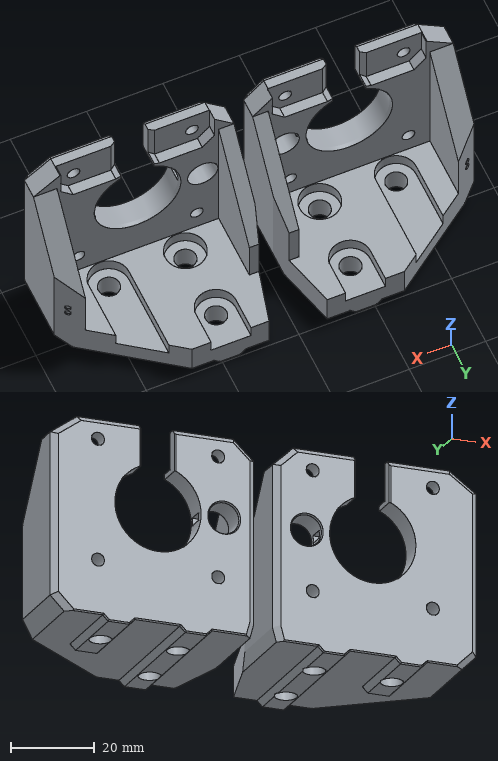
import cadquery as cq

pair_width = 110.0
bracket_width = 52.6
depth = 39.2
height = 51.9

foot_height = 1.4
upper_corner_z = 47.0
lower_corner_z = 5.1
outer_top_cut = 6.9
inner_top_cut = 5.3
outer_bottom_cut = lower_corner_z - foot_height
inner_bottom_cut = 1.0
front_chamfer = 1.5
lower_front_chamfer = 0.3

side_depth = 19.1
back_outer_x = 27.2
back_inner_x = 47.4

plate_thickness = 6.9
base_top = 9.6
outer_rib_thickness = 6.2
inner_rib_thickness = 4.1
rib_depth = 25.0
rib_back_top = 21.0

motor_x = 27.3
motor_z = 30.8
motor_hole_diameter = 22.2
motor_back_bevel_depth = 1.0
motor_back_bevel_width = 0.2
slot_width = 8.7
slot_front_bevel = 0.3
screw_pitch = 31.0
screw_diameter = 3.3

relief_front_y = 4.1
relief_width = 40.3
relief_floor_z = 41.9
relief_floor_outer = 16.9
relief_floor_inner = 5.7
relief_lip = 0.5
slot_bevel_depth = 0.9

rod_offset = 17.0
rod_diameter = 7.9
rod_mouth_diameter = 8.5
rod_mouth_depth = 0.4
window_front_y = 1.8
window_length = 3.8
window_height = 2.0

bolt_outer_x = 17.4
bolt_inner_x = 37.4
bolt_front_y = 12.3
bolt_back_y = 30.4
bolt_diameter = 5.5
head_diameter = 10.5
head_depth = 3.3
foot_width = 8.4
outer_foot_x = 17.3
outer_foot_length = 21.1
inner_foot_x = 37.2

dot_diameter = 1.5
dot_depth = 0.3
dot_y = 21.1
dot_z = 16.5
dot_spacing = 2.1


def prism_along_y(points, front_y, back_y):
    """Extrude an XZ outline from front_y to back_y."""
    outline = cq.Workplane("XZ", origin=(0, front_y, 0)).polyline(points).close()
    return outline.extrude(front_y - back_y)


def cylinder_along_y(x, z, diameter, front_y, back_y):
    circle = cq.Workplane("XZ", origin=(x, front_y, z)).circle(diameter / 2)
    return circle.extrude(front_y - back_y)


def mirrored(right_half):
    """Complete an outline from its right half, with the motor axis as its middle."""
    left_half = [(-x, v) for x, v in reversed(right_half)]
    return [(motor_x + x, v) for x, v in left_half + right_half]


def upright_block():
    """Upright outline through the full depth, with a chamfered front."""
    upright = [
        (0, lower_corner_z),
        (0, upper_corner_z),
        (outer_top_cut, height),
        (bracket_width - inner_top_cut, height),
        (bracket_width, upper_corner_z),
        (bracket_width, lower_corner_z),
        (bracket_width - inner_bottom_cut, foot_height),
        (outer_bottom_cut, foot_height),
    ]
    block = prism_along_y(upright, 0, depth)
    return block.faces("<Y").edges("not(<Z)").chamfer(front_chamfer)


def plan_block():
    """Plan outline through the full height; the back corners are cut off."""
    plan = [
        (0, 0),
        (0, side_depth),
        (back_outer_x, depth),
        (back_inner_x, depth),
        (bracket_width, side_depth),
        (bracket_width, 0),
    ]
    return cq.Workplane("XY").polyline(plan).close().extrude(height)


def motor_space():
    """Room between the ribs, behind the plate and above the base."""
    width = bracket_width - outer_rib_thickness - inner_rib_thickness
    space = cq.Workplane("XY").box(width, depth, height, centered=False)
    return space.translate((outer_rib_thickness, plate_thickness, base_top))


def rib_slope_cut():
    """Everything above the sloped rib tops and behind their back ends."""
    outline = [
        (plate_thickness, height),
        (plate_thickness, upper_corner_z),
        (rib_depth, rib_back_top),
        (rib_depth, base_top),
        (depth, base_top),
        (depth, height),
    ]
    return cq.Workplane("YZ").polyline(outline).close().extrude(bracket_width)


def motor_opening():
    """Round opening with a bevelled back edge, and a slot up to the top with a bevelled front edge."""
    radius = motor_hole_diameter / 2
    half_slot = slot_width / 2
    bevel_start = plate_thickness - motor_back_bevel_depth
    hole_section = [
        (0, 0),
        (radius, 0),
        (radius, bevel_start),
        (radius + motor_back_bevel_width, plate_thickness),
        (0, plate_thickness),
    ]
    hole = cq.Workplane("XY").polyline(hole_section).close().revolve(360, (0, 0), (0, 1))
    right_half = [
        (half_slot + slot_front_bevel, 0),
        (half_slot, slot_front_bevel),
        (half_slot, plate_thickness),
    ]
    slot = cq.Workplane("XY", origin=(0, 0, motor_z)).polyline(mirrored(right_half)).close()
    return hole.translate((motor_x, 0, motor_z)).union(slot.extrude(height - motor_z))


def screw_holes():
    """Four motor screws on a square around the opening."""
    screws = cq.Workplane("XZ", origin=(motor_x, 0, motor_z)).rect(screw_pitch, screw_pitch, forConstruction=True)
    return screws.vertices().circle(screw_diameter / 2).extrude(-plate_thickness)


def screw_relief():
    """Relief behind the upper screws: two shallow dips, open at the top, bevelled towards the slot."""
    half_width = relief_width / 2
    half_slot = slot_width / 2
    outer_rise = half_width - relief_floor_outer
    upright = [
        (half_slot, relief_floor_z + relief_lip),
        (relief_floor_inner, relief_floor_z),
        (relief_floor_outer, relief_floor_z),
        (half_width, relief_floor_z + outer_rise),
        (half_width, height),
    ]
    plan = [
        (half_width, plate_thickness),
        (half_width, relief_front_y),
        (relief_floor_inner, relief_front_y),
        (half_slot, relief_front_y - slot_bevel_depth),
    ]
    plan_column = cq.Workplane("XY").polyline(mirrored(plan)).close().extrude(height)
    return prism_along_y(mirrored(upright), 0, plate_thickness).intersect(plan_column)


def rod_hole():
    """Rod hole with a countersunk front and a window into the motor opening."""
    rod_x = motor_x + rod_offset
    hole = cylinder_along_y(rod_x, motor_z, rod_diameter, 0, plate_thickness)
    mouth = cq.Workplane("XZ", origin=(rod_x, 0, motor_z)).circle(rod_mouth_diameter / 2)
    mouth = mouth.workplane(offset=-rod_mouth_depth).circle(rod_diameter / 2).loft(ruled=True)
    window = cq.Workplane("XY").box(rod_offset, window_length, window_height, centered=(False, False, True))
    return hole.union(mouth).union(window.translate((motor_x, window_front_y, motor_z)))


def bolt_holes():
    """Three base bolts with recessed heads; two recesses run out at the back."""
    bolts = [
        (bolt_outer_x, bolt_front_y, True),
        (bolt_inner_x, bolt_front_y, False),
        (bolt_inner_x, bolt_back_y, True),
    ]
    cut = cq.Workplane("XY")
    for x, y, open_back in bolts:
        shank = cq.Workplane("XY", origin=(x, y, 0)).circle(bolt_diameter / 2).extrude(base_top)
        floor = cq.Workplane("XY", origin=(x, y, base_top - head_depth))
        cut = cut.union(shank).union(floor.circle(head_diameter / 2).extrude(head_depth))
        if open_back:
            channel = floor.center(0, (depth - y) / 2).rect(head_diameter, depth - y)
            cut = cut.union(channel.extrude(head_depth))
    return cut


def foot(center_x, length):
    """Runner under a row of bolts, with sides sloping inwards at 45 degrees."""
    half_top = foot_width / 2
    half_bottom = half_top - foot_height
    outline = [
        (center_x - half_top, foot_height),
        (center_x - half_bottom, 0),
        (center_x + half_bottom, 0),
        (center_x + half_top, foot_height),
    ]
    return prism_along_y(outline, 0, length)


def lowest_edges():
    """Selects the edges of the feet and of the plate's underside."""
    return cq.selectors.BoxSelector((0, -1.1, -1.1), (bracket_width, 1.1, foot_height + 0.1))


def marking_dots():
    """Two shallow round pits, square to the slanted outer face."""
    run = back_outer_x
    rise = depth - side_depth
    dot_x = (dot_y - side_depth) * run / rise
    face = cq.Plane(origin=(dot_x, dot_y, dot_z), xDir=(run, rise, 0), normal=(rise, -run, 0))
    spots = [(0, -dot_spacing / 2), (0, dot_spacing / 2)]
    return cq.Workplane(face).pushPoints(spots).circle(dot_diameter / 2).extrude(dot_depth)


def bracket():
    body = upright_block()
    body = body.union(foot(outer_foot_x, outer_foot_length))
    body = body.union(foot(inner_foot_x, depth))
    body = body.faces("<Y").edges(lowest_edges()).chamfer(lower_front_chamfer)
    body = body.intersect(plan_block())
    for cut in (
        motor_space(),
        rib_slope_cut(),
        motor_opening(),
        screw_holes(),
        screw_relief(),
        rod_hole(),
        bolt_holes(),
        marking_dots(),
    ):
        body = body.cut(cut)
    return body


left_bracket = bracket().translate((-pair_width / 2, 0, 0))
right_bracket = left_bracket.mirror("YZ")

result = cq.Compound.makeCompound([left_bracket.val(), right_bracket.val()])